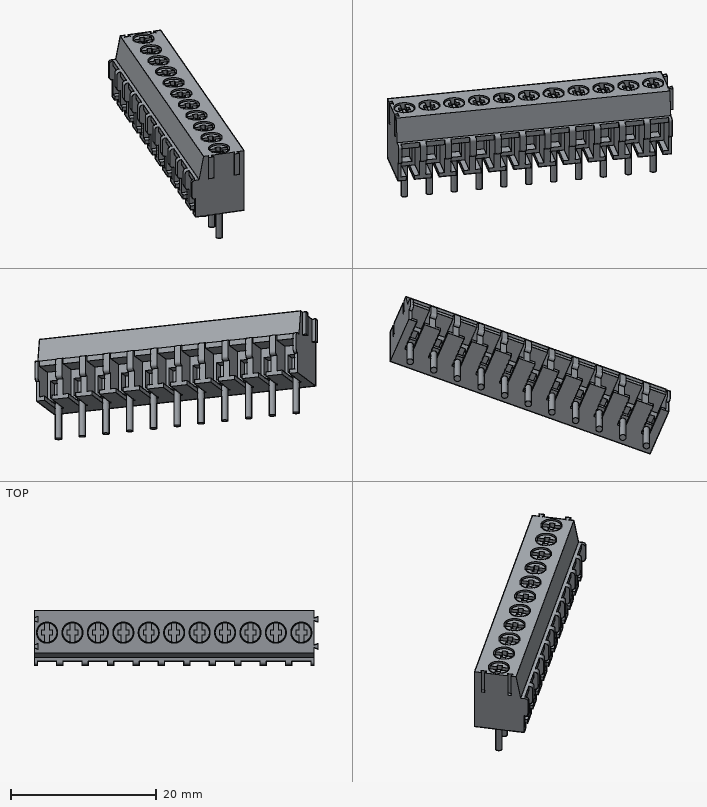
import cadquery as cq

POLES = 11
PITCH = 3.5
LENGTH = POLES * PITCH

HEIGHT = 9.2
DEPTH = 7.55
BACK_Y = 3.05
NOSE_Y = BACK_Y - DEPTH
FRONT_Y = NOSE_Y + 0.55
SLOPE_FOOT_Y = NOSE_Y + 1.05
SLOPE_TOP_Y = NOSE_Y + 1.7
NOSE_BOTTOM_Z = 2.8
NOSE_TOP_Z = 5.7
NOSE_RADIUS = 0.45

POCKET_WIDTH = 2.6
POCKET_FLOOR_Z = 0.6
LIP_BOTTOM_Z = 4.95
POCKET_BACK_Y = -0.9
WIRE_HOLE_WIDTH = 1.7
WIRE_HOLE_BOTTOM_Z = 1.2
WIRE_HOLE_TOP_Z = 3.65
WIRE_HOLE_DEPTH = 1.5
NOTCH_WIDTH = 1.1
NOTCH_BACK_Y = NOTCH_WIDTH / 2

PIN_DIAMETER = 0.9
PIN_LENGTH = 4.5
PIN_TOP_Z = 1.0

SCREW_HOLE_DIAMETER = 2.9
SCREW_DIAMETER = 2.7
SCREW_RECESS = 0.2
SCREW_GAP_DEPTH = 1.0
DRIVE_SLOT_WIDTH = 0.7
DRIVE_CROSS_LENGTH = 1.5
DRIVE_DEPTH = 0.7

DOVETAIL_YS = (BACK_Y - 1.22, BACK_Y - 4.94)
DOVETAIL_NECK = 0.4
DOVETAIL_HEAD = 0.8
DOVETAIL_HEIGHT = 3.25
RIB_DEPTH = 0.57
GROOVE_DEPTH = 0.5

POLE_XS = [PITCH * (index + 0.5) for index in range(POLES)]


def box_between(x_range, y_range, z_range):
    """Axis-aligned box given by its (low, high) limits on each axis."""
    size = [high - low for low, high in (x_range, y_range, z_range)]
    corner = (x_range[0], y_range[0], z_range[0])
    return cq.Workplane("XY").box(*size, centered=False).translate(corner)


def centred(x, width):
    """Limits of a span of the given width centred on x."""
    return (x - width / 2, x + width / 2)


def make_housing():
    """Extruded housing section with a rounded nose along the front."""
    outline = [
        (BACK_Y, 0),
        (BACK_Y, HEIGHT),
        (SLOPE_TOP_Y, HEIGHT),
        (SLOPE_FOOT_Y, NOSE_TOP_Z),
        (NOSE_Y, NOSE_TOP_Z),
        (NOSE_Y, NOSE_BOTTOM_Z),
        (FRONT_Y, NOSE_BOTTOM_Z),
        (FRONT_Y, 0),
    ]
    housing = cq.Workplane("YZ").polyline(outline).close().extrude(LENGTH)
    return housing.edges("|X and <Y").fillet(NOSE_RADIUS)


def wire_entry(x):
    """Material removed for one wire entry, from the nose inwards."""
    pocket_x = centred(x, POCKET_WIDTH)
    lip_recess = box_between(pocket_x, (NOSE_Y, FRONT_Y), (POCKET_FLOOR_Z, NOSE_TOP_Z))
    pocket = box_between(pocket_x, (NOSE_Y, POCKET_BACK_Y), (POCKET_FLOOR_Z, LIP_BOTTOM_Z))
    wire_hole = box_between(
        centred(x, WIRE_HOLE_WIDTH),
        (POCKET_BACK_Y, POCKET_BACK_Y + WIRE_HOLE_DEPTH),
        (WIRE_HOLE_BOTTOM_Z, WIRE_HOLE_TOP_Z),
    )
    floor_notch = box_between(centred(x, NOTCH_WIDTH), (NOSE_Y, NOTCH_BACK_Y), (0, POCKET_FLOOR_Z))
    return lip_recess.union(pocket).union(wire_hole).union(floor_notch)


def screw_recess(x):
    """Material removed around and above one screw head, with its cross drive."""
    screw_top_z = HEIGHT - SCREW_RECESS
    hole = (
        cq.Workplane("XY", origin=(x, 0, HEIGHT))
        .circle(SCREW_HOLE_DIAMETER / 2)
        .extrude(-SCREW_GAP_DEPTH)
    )
    head = (
        cq.Workplane("XY", origin=(x, 0, HEIGHT - SCREW_GAP_DEPTH))
        .circle(SCREW_DIAMETER / 2)
        .extrude(SCREW_GAP_DEPTH - SCREW_RECESS)
    )
    drive_z = (screw_top_z - DRIVE_DEPTH, screw_top_z)
    long_slot = box_between(centred(x, DRIVE_SLOT_WIDTH), centred(0, SCREW_DIAMETER), drive_z)
    short_slot = box_between(centred(x, DRIVE_CROSS_LENGTH), centred(0, DRIVE_SLOT_WIDTH), drive_z)
    return hole.cut(head.cut(long_slot).cut(short_slot))


def solder_pin(x):
    """Round pin that rises through the floor notch into the housing."""
    return (
        cq.Workplane("XY", origin=(x, 0, -PIN_LENGTH))
        .circle(PIN_DIAMETER / 2)
        .extrude(PIN_LENGTH + PIN_TOP_Z)
    )


def dovetail(face_x, y, depth):
    """Vertical dovetail growing in +X from its neck at face_x."""
    outline = [
        (face_x, y - DOVETAIL_NECK / 2),
        (face_x + depth, y - DOVETAIL_HEAD / 2),
        (face_x + depth, y + DOVETAIL_HEAD / 2),
        (face_x, y + DOVETAIL_NECK / 2),
    ]
    return (
        cq.Workplane("XY", origin=(0, 0, HEIGHT - DOVETAIL_HEIGHT))
        .polyline(outline)
        .close()
        .extrude(DOVETAIL_HEIGHT)
    )


result = make_housing()
for pole_x in POLE_XS:
    result = result.cut(wire_entry(pole_x)).cut(screw_recess(pole_x)).union(solder_pin(pole_x))
for dovetail_y in DOVETAIL_YS:
    result = result.cut(dovetail(0, dovetail_y, GROOVE_DEPTH))
    result = result.union(dovetail(LENGTH, dovetail_y, RIB_DEPTH))